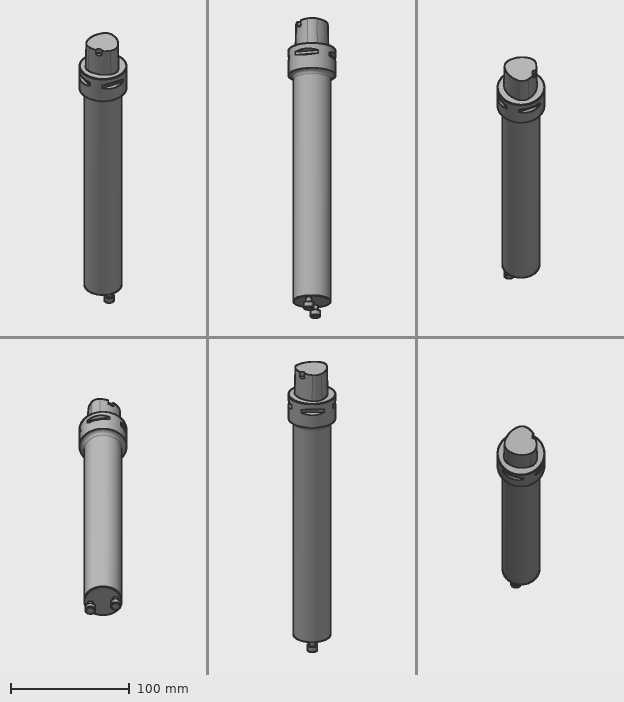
import cadquery as cq
import math

total_length = 258.0
shank_bottom = 9.8
collar_bottom = 211.5
collar_top = 234.0

shank_radius = 32.0 / 2
shank_chamfer = 0.5
collar_radius = 40.0 / 2
collar_chamfer = 0.5
neck_fillet = 3.5

lobe_offset = 6.5
lobe_base_radius = 8.5
flank_base_radius = lobe_base_radius + math.sqrt(3) * lobe_offset
coupling_taper = math.degrees(math.atan(1 / 40))
lobe_angles = (90, 210, 330)
lobe_spacing = 120
arc_half_angle = lobe_spacing / 4

notch_radius = 2.5
notch_center_y = -13.0
notch_depth = 4.0
notch_tip_depth = 1.3

groove_angles = (45, 135, 225, 315)
groove_z = 226.3
groove_depth = 2.5
groove_floor_height = 2.5
groove_side_slope = math.tan(math.radians(30))

pin_offset = 7.7
pin_centers = ((-pin_offset, pin_offset), (pin_offset, -pin_offset))
stem_radius = 5.0 / 2
head_radius = 8.5 / 2
head_height = 5.2
head_chamfer = 0.8


def polar(radius, angle, center=(0, 0)):
    """Point at a radius and an angle in degrees about a center."""
    turn = math.radians(angle)
    return center[0] + radius * math.cos(turn), center[1] + radius * math.sin(turn)


def make_body():
    """Shank and collar, revolved about Z."""
    neck_radius = shank_radius + neck_fillet
    return (
        cq.Workplane("XZ")
        .moveTo(0, shank_bottom)
        .lineTo(shank_radius - shank_chamfer, shank_bottom)
        .lineTo(shank_radius, shank_bottom + shank_chamfer)
        .lineTo(shank_radius, collar_bottom - neck_fillet)
        .radiusArc((neck_radius, collar_bottom), neck_fillet)
        .lineTo(collar_radius, collar_bottom)
        .lineTo(collar_radius, collar_top - collar_chamfer)
        .lineTo(collar_radius - collar_chamfer, collar_top)
        .lineTo(0, collar_top)
        .close()
        .revolve(360, (0, 0, 0), (0, 1, 0))
    )


def make_coupling():
    """Tapered three-lobed coupling above the collar."""
    first_center = polar(lobe_offset, lobe_angles[0])
    outline = cq.Workplane("XY", origin=(0, 0, collar_top))
    outline = outline.moveTo(*polar(lobe_base_radius, lobe_angles[0] - arc_half_angle, first_center))
    for angle in lobe_angles:
        lobe_center = polar(lobe_offset, angle)
        opposite_center = polar(lobe_offset, angle - lobe_spacing)
        outline = outline.threePointArc(
            polar(lobe_base_radius, angle, lobe_center),
            polar(lobe_base_radius, angle + arc_half_angle, lobe_center),
        )
        flank_angle = angle + lobe_spacing / 2
        outline = outline.threePointArc(
            polar(flank_base_radius, flank_angle, opposite_center),
            polar(flank_base_radius, flank_angle + arc_half_angle, opposite_center),
        )
    return outline.close().extrude(total_length - collar_top, taper=coupling_taper)


def make_notch():
    """Vertical drilled cut with a conical floor."""
    floor = total_length - notch_depth
    return (
        cq.Workplane("XZ", origin=(0, notch_center_y, 0))
        .moveTo(0, floor - notch_tip_depth)
        .lineTo(notch_radius, floor)
        .lineTo(notch_radius, total_length)
        .lineTo(0, total_length)
        .close()
        .revolve(360, (0, 0, 0), (0, 1, 0))
    )


def make_groove(angle):
    """Straight groove with sloped sides, cut across the collar rim."""
    floor_x = collar_radius - groove_depth
    mouth_x = collar_radius + groove_depth
    half_floor = groove_floor_height / 2
    half_mouth = half_floor + (mouth_x - floor_x) * groove_side_slope
    return (
        cq.Workplane("XZ", origin=(0, 0, groove_z))
        .moveTo(floor_x, -half_floor)
        .lineTo(mouth_x, -half_mouth)
        .lineTo(mouth_x, half_mouth)
        .lineTo(floor_x, half_floor)
        .close()
        .extrude(collar_radius, both=True)
        .rotate((0, 0, 0), (0, 0, 1), angle)
    )


def make_pin(center):
    """Stem with a chamfered head at its lower end."""
    head = cq.Workplane("XY").circle(head_radius).extrude(head_height)
    head = head.faces("<Z").chamfer(head_chamfer)
    stem = cq.Workplane("XY").circle(stem_radius).extrude(shank_bottom)
    return head.union(stem).translate((*center, 0))


result = make_body().union(make_coupling()).cut(make_notch())
for groove_angle in groove_angles:
    result = result.cut(make_groove(groove_angle))
for pin_center in pin_centers:
    result = result.union(make_pin(pin_center))